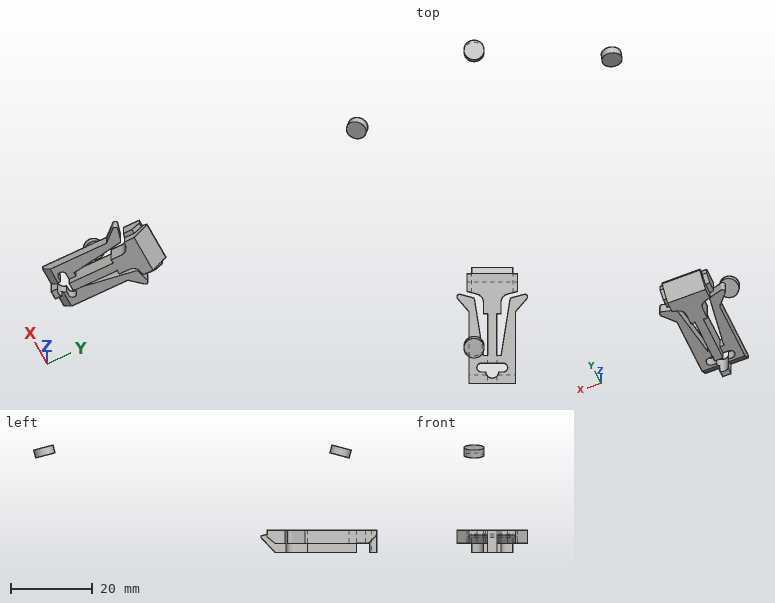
import cadquery as cq
import math

CLIP_HEIGHT = 5.55
PLATE_BOTTOM = 2.3
FLARE_ANGLE = 15.0

HEAD_END = 26.9
HEAD_HALF_WIDTH = 6.2
SHOULDER_Y = 22.6
NECK_HALF_WIDTH = 2.2
NECK_START = 17.1
NECK_FILLET = 2.0
STEM_HALF_WIDTH = 1.14

BASE_HALF_WIDTH = 5.7
SLOT_START = 6.9
SLOT_FOOT_X = 2.15
ELBOW_X = 4.4
ELBOW_Y = 21.0
FLARE_START = 17.635
TIP_X = 10.0
TIP_Y = ELBOW_Y + (TIP_X - ELBOW_X) * math.tan(math.radians(FLARE_ANGLE))
TIP_RADIUS = 0.7
ELBOW_RADIUS = 0.7

NEAR_LIP_BOTTOM = 4.4
NEAR_SLOPE_LENGTH = 2.1
HEAD_LIP_BOTTOM = 3.9
HEAD_SLOPE_START = 24.9

KEYHOLE_WIDTH = 7.5
KEYHOLE_START = 2.9
KEYHOLE_END = 5.0
KEYHOLE_LOBE_RADIUS = 1.6
KEYHOLE_LOBE_Y = 2.95

KEEL_HALF_WIDTH = 5.05
TONGUE_TOP = 4.55
TONGUE_END = 28.45
TONGUE_TIP_LOW = 3.7
TONGUE_TIP_HIGH = TONGUE_TOP - (TONGUE_END - HEAD_END) * math.tan(math.radians(FLARE_ANGLE))

POST_WIDTH = 2 * STEM_HALF_WIDTH
POST_DEPTH = 1.85

DISC_DIAMETER = 5.0
DISC_THICKNESS = 2.0
DISC_TILT = 15.0
DISC_X = -4.5
TOTAL_LENGTH = 84.2
TOTAL_HEIGHT = 26.4
TILT = math.radians(DISC_TILT)
DISC_HALF_Y = (DISC_DIAMETER * math.cos(TILT) + DISC_THICKNESS * math.sin(TILT)) / 2
DISC_HALF_Z = (DISC_DIAMETER * math.sin(TILT) + DISC_THICKNESS * math.cos(TILT)) / 2
NEAR_DISC_Y = 8.9
FAR_DISC_Y = TOTAL_LENGTH - DISC_HALF_Y
DISC_Z = TOTAL_HEIGHT - DISC_HALF_Z


def extrude_outline(points, bottom):
    """Extrude a plan outline from the given level up to the top of the clip."""
    return cq.Workplane("XY").workplane(offset=bottom).polyline(points).close().extrude(CLIP_HEIGHT - bottom)


def extrude_profile(points, half_width):
    """Extrude a YZ profile symmetrically about the centre plane X = 0."""
    return cq.Workplane("YZ").polyline(points).close().extrude(half_width, both=True)


def round_upright_edges(body, corners, radius):
    """Fillet the upright edges that stand at the given plan positions."""
    mid_z = body.val().BoundingBox().center.z
    for x, y in corners:
        nearest = cq.selectors.NearestToPointSelector((x, y, mid_z))
        body = body.edges("|Z").edges(nearest).fillet(radius)
    return body


def make_spine(bottom):
    """Head with sloping shoulders, filleted neck and stem."""
    shoulder_drop = (HEAD_HALF_WIDTH - NECK_HALF_WIDTH) * math.tan(math.radians(FLARE_ANGLE))
    neck_end = SHOULDER_Y - shoulder_drop
    right_side = [
        (STEM_HALF_WIDTH, KEYHOLE_END),
        (STEM_HALF_WIDTH, NECK_START),
        (NECK_HALF_WIDTH, NECK_START),
        (NECK_HALF_WIDTH, neck_end),
        (HEAD_HALF_WIDTH, SHOULDER_Y),
        (HEAD_HALF_WIDTH, HEAD_END),
    ]
    left_side = [(-x, y) for x, y in reversed(right_side)]
    spine = extrude_outline(right_side + left_side, bottom)
    neck_corners = [(side * NECK_HALF_WIDTH, neck_end) for side in (-1, 1)]
    return round_upright_edges(spine, neck_corners, NECK_FILLET)


def make_base_and_arms():
    """Rectangular base carrying two flared spring arms."""
    right_side = [
        (BASE_HALF_WIDTH, 0),
        (BASE_HALF_WIDTH, FLARE_START),
        (TIP_X, TIP_Y),
        (ELBOW_X, ELBOW_Y),
        (SLOT_FOOT_X, SLOT_START),
    ]
    left_side = [(-x, y) for x, y in reversed(right_side)]
    base = extrude_outline(right_side + left_side, PLATE_BOTTOM)
    base = round_upright_edges(base, [(side * TIP_X, TIP_Y) for side in (-1, 1)], TIP_RADIUS)
    return round_upright_edges(base, [(side * ELBOW_X, ELBOW_Y) for side in (-1, 1)], ELBOW_RADIUS)


def make_end_slopes():
    """Wedges that cut the sloping undersides at the two ends of the plate."""
    near = [(0, PLATE_BOTTOM), (NEAR_SLOPE_LENGTH, PLATE_BOTTOM), (0, NEAR_LIP_BOTTOM)]
    far = [(HEAD_SLOPE_START, PLATE_BOTTOM), (HEAD_END, PLATE_BOTTOM), (HEAD_END, HEAD_LIP_BOTTOM)]
    return extrude_profile(near, HEAD_HALF_WIDTH).union(extrude_profile(far, HEAD_HALF_WIDTH))


def make_keyhole():
    """Round-ended cross slot with a round lobe toward the near end."""
    slot_height = KEYHOLE_END - KEYHOLE_START
    slot_y = (KEYHOLE_START + KEYHOLE_END) / 2
    slot = cq.Workplane("XY").center(0, slot_y).slot2D(KEYHOLE_WIDTH, slot_height).extrude(CLIP_HEIGHT)
    lobe = cq.Workplane("XY").center(0, KEYHOLE_LOBE_Y).circle(KEYHOLE_LOBE_RADIUS).extrude(CLIP_HEIGHT)
    return slot.union(lobe)


def make_keel():
    """Narrower continuation of the spine below the plate, plus the end tongue."""
    profile = [
        (KEYHOLE_END, 0),
        (HEAD_SLOPE_START, 0),
        (TONGUE_END, TONGUE_TIP_LOW),
        (TONGUE_END, TONGUE_TIP_HIGH),
        (HEAD_END, TONGUE_TOP),
        (HEAD_SLOPE_START, TONGUE_TOP),
        (HEAD_SLOPE_START, PLATE_BOTTOM),
        (KEYHOLE_END, PLATE_BOTTOM),
    ]
    keel = extrude_profile(profile, KEEL_HALF_WIDTH)
    tongue_space = cq.Workplane("XY").box(
        2 * KEEL_HALF_WIDTH, TONGUE_END - HEAD_END, CLIP_HEIGHT, centered=(True, False, False)
    ).translate((0, HEAD_END, 0))
    return keel.intersect(make_spine(0).union(tongue_space))


def make_post():
    """Post that hangs from the near end of the plate."""
    return cq.Workplane("XY").box(POST_WIDTH, POST_DEPTH, CLIP_HEIGHT, centered=(True, False, False))


def make_clip():
    plate = make_base_and_arms().union(make_spine(PLATE_BOTTOM)).cut(make_end_slopes())
    return plate.union(make_keel()).union(make_post()).cut(make_keyhole())


def make_disc(center_y, tilt):
    """Disc turned about X by the tilt angle; a negative angle leans its top toward +Y."""
    disc = cq.Workplane("XY").cylinder(DISC_THICKNESS, DISC_DIAMETER / 2)
    return disc.rotate((0, 0, 0), (1, 0, 0), tilt).translate((DISC_X, center_y, DISC_Z))


clip = make_clip()
disc_places = [(NEAR_DISC_Y, DISC_TILT), (FAR_DISC_Y, -DISC_TILT)]
discs = [make_disc(center_y, tilt).val() for center_y, tilt in disc_places]

result = cq.Compound.makeCompound([clip.val(), *discs])